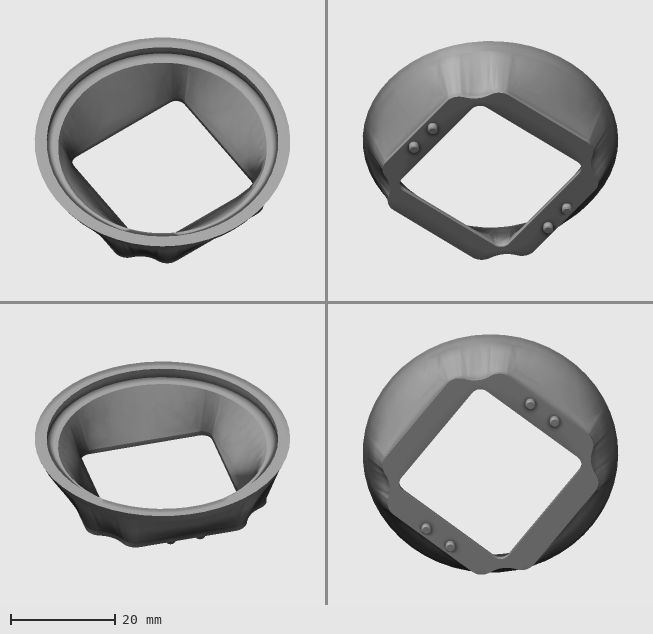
import cadquery as cq

plate_thickness = 1.0
body_height = 8.05
rim_height = 1.95
rim_base = plate_thickness + body_height
top = rim_base + rim_height
pin_length = 1.35

rim_diameter = 49.0
rim_base_diameter = 47.15
recess_diameter = 44.4
recess_depth = 2.0
bore_diameter = 40.0
recess_floor = top - recess_depth

plate_width = 35.95
corner_relief_radius = 6.0
plate_corner_radius = 3.0
opening_width = 26.0
opening_corner_radius = 2.0

pin_diameter = 1.9
pin_chamfer = 0.25
pin_spacing_x = 32.55
pin_spacing_y = 5.9


def plate_solid(thickness):
    """Square plate with a rounded scallop cut from each corner."""
    scallops = (
        cq.Workplane("XY")
        .rect(plate_width, plate_width, forConstruction=True)
        .vertices()
        .circle(corner_relief_radius)
        .extrude(thickness)
    )
    plate = cq.Workplane("XY").rect(plate_width, plate_width).extrude(thickness).cut(scallops)
    reach = plate_width / 2
    inset = reach - corner_relief_radius
    for x_sign in (-1, 1):
        for y_sign in (-1, 1):
            for x, y in ((reach, inset), (inset, reach)):
                edge = cq.selectors.NearestToPointSelector((x_sign * x, y_sign * y, thickness / 2))
                plate = plate.edges("|Z").edges(edge).fillet(plate_corner_radius)
    return plate


def opening_solid(height):
    """Square opening with rounded corners."""
    opening = cq.Workplane("XY").rect(opening_width, opening_width).extrude(height)
    return opening.edges("|Z").fillet(opening_corner_radius)


def loft_to_circle(lower_solid, diameter, height):
    """Blend from the top outline of a solid to a circle at the given height."""
    lower = lower_solid.faces(">Z").val().outerWire()
    upper = cq.Wire.makeCircle(diameter / 2, cq.Vector(0, 0, height), cq.Vector(0, 0, 1))
    return cq.Workplane(cq.Solid.makeLoft([lower, upper], True))


plate = plate_solid(plate_thickness)
body = loft_to_circle(plate, rim_base_diameter, rim_base)
rim = (
    cq.Workplane("XY", origin=(0, 0, rim_base))
    .circle(rim_base_diameter / 2)
    .workplane(offset=rim_height)
    .circle(rim_diameter / 2)
    .loft(ruled=True)
)
outer = plate.union(body).union(rim)

opening = opening_solid(plate_thickness)
funnel = loft_to_circle(opening, bore_diameter, recess_floor)
recess = cq.Workplane("XY", origin=(0, 0, recess_floor)).circle(recess_diameter / 2).extrude(recess_depth)

pins = (
    cq.Workplane("XY")
    .rect(pin_spacing_x, pin_spacing_y, forConstruction=True)
    .vertices()
    .circle(pin_diameter / 2)
    .extrude(-pin_length)
    .faces("<Z")
    .chamfer(pin_chamfer)
)

result = outer.cut(opening).cut(funnel).cut(recess).union(pins)